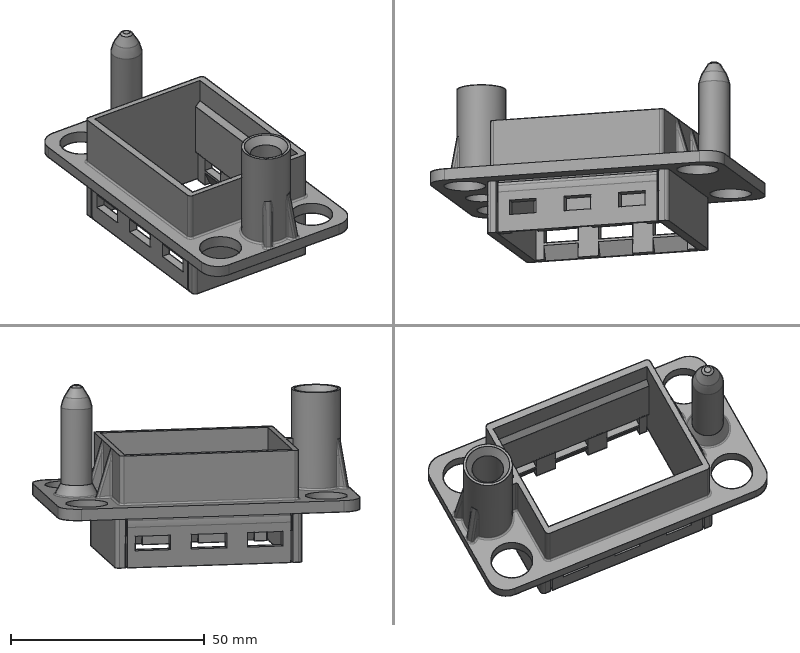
import cadquery as cq
import math

BOTTOM_Z = -13.6
FLANGE_T = 3.0
RIM_Z = 15.85

FLANGE_X = 79.3
FLANGE_Y = 45.0
FLANGE_CORNER_R = 5.15
HOLE_D = 10.8
HOLE_X = 31.5
HOLE_Y = 14.35

SHROUD_X = 47.0
SHROUD_Y = 37.0
OPENING_X = 44.0
OPENING_Y = 33.1
CORNER_R = 1.0
FOOT_R = 0.5

SKIRT_X = 49.1
SKIRT_Y = 35.5
TONGUE_X = 43.0
TONGUE_GAP_Y = 31.0
SLOT_W = (OPENING_X - TONGUE_X) / 2

LEDGE_GAP_Y = 30.4
LEDGE_BOTTOM_Z = -5.4
LEDGE_TOP_Z = 9.75

NECK_TILT = math.radians(10)
SHOULDER_Z = -3.0
SLOPE_Z = -1.3
FLARE_Z = -0.5
FLARE_DEPTH = 0.15

WINDOW_PITCH = 14.75
WINDOW_TOP_Z = LEDGE_BOTTOM_Z
WINDOW_H = 3.8
WINDOW_FRONT_W = 9.3
WINDOW_BACK_W = 7.1
LIP_H = 0.7
LEAD_IN_DEPTH = 1.6

PIN_R = 4.05
PIN_FOOT_R = 5.6
PIN_FOOT_TOP_Z = 5.95
PIN_SHOULDER_Z = 25.85
PIN_NOSE_Z = 28.6
PIN_NOSE_R = 3.1
PIN_NOSE_BULGE = 0.12
PIN_CONE_TOP_Z = 31.1
PIN_CONE_TOP_R = 1.6
PIN_TIP_R = 0.9
PIN_TOP_Z = 31.6

SOCKET_R = 6.35
SOCKET_BORE_R = 4.05
SOCKET_MOUTH_R = 5.6
SOCKET_MOUTH_DEPTH = 2.1
SOCKET_TOP_Z = 28.6
WEB_W = 1.9
WEB_OVERLAP = 1.4

RIB_W = 2.1
RIB_EDGE_R = 0.5
RIB_EMBED = 0.8
END_RIB_Y = 6.2
END_RIB_REACH = 3.9
SOCKET_RIB_ANGLE = 31
SOCKET_RIB_REACH = 2.4

BLANK_MARGIN = 7.9
ZONE_MARGIN = 0.1
RIB_ZONE_Y = END_RIB_Y + RIB_W


def block(size_x, size_y, z_low, z_high):
    """Box centred on the Z axis between two levels."""
    return cq.Workplane("XY").workplane(offset=z_low).rect(size_x, size_y).extrude(z_high - z_low)


def gusset(root, reach):
    """Triangular rib on the flange, sloping from a wall at x = root down to x = root + reach."""
    slope = (RIM_Z - FLANGE_T) / reach
    profile = [
        (root - RIB_EMBED, FLANGE_T),
        (root + reach, FLANGE_T),
        (root - RIB_EMBED, RIM_Z + slope * RIB_EMBED),
    ]
    rib = cq.Workplane("XZ").polyline(profile).close().extrude(RIB_W / 2, both=True)
    rib = rib.edges("not (|X or |Y or |Z)").fillet(RIB_EDGE_R)
    return rib.intersect(block(2 * (root + reach), RIB_W, FLANGE_T, RIM_Z))


def flange_prism():
    """Flange outline with its four holes, carried up to the top of the part."""
    plate = block(FLANGE_X, FLANGE_Y, 0, PIN_TOP_Z).edges("|Z").fillet(FLANGE_CORNER_R)
    holes = (
        cq.Workplane("XY")
        .rect(2 * HOLE_X, 2 * HOLE_Y, forConstruction=True)
        .vertices()
        .circle(HOLE_D / 2)
        .extrude(PIN_TOP_Z)
    )
    return plate.cut(holes)


def on_flange(body, x_low, x_high, half_y):
    """Stand a body on a flange blank, filleting its outline there and the roots of its ribs."""
    blank = block(FLANGE_X + BLANK_MARGIN, FLANGE_Y + BLANK_MARGIN, 0, FLANGE_T)
    joined = blank.union(body)
    low_z = FLANGE_T - ZONE_MARGIN
    outline_zone = cq.selectors.BoxSelector(
        (x_low, -half_y, low_z), (x_high, half_y, FLANGE_T + ZONE_MARGIN), boundingbox=True
    )
    rib_zone = cq.selectors.BoxSelector(
        (x_low, -RIB_ZONE_Y, low_z), (x_high, RIB_ZONE_Y, RIM_Z + ZONE_MARGIN), boundingbox=True
    )
    outline = joined.edges(outline_zone).vals()
    rib_roots = joined.edges("|Z").edges(rib_zone).vals()
    return joined.newObject(outline + rib_roots).fillet(FOOT_R)


def shroud():
    """Rectangular wall with a pair of end ribs and the web that ties it to the socket."""
    body = block(SHROUD_X, SHROUD_Y, FLANGE_T, RIM_Z).edges("|Z").fillet(CORNER_R)
    rib = gusset(SHROUD_X / 2, END_RIB_REACH).rotate((0, 0, 0), (0, 0, 1), 180)
    for side in (-1, 1):
        body = body.union(rib.translate((0, side * END_RIB_Y, 0)))
    web_end = HOLE_X - SOCKET_R + WEB_OVERLAP
    body = body.union(block(web_end, WEB_W, FLANGE_T, RIM_Z).translate((web_end / 2, 0, 0)))
    reach_x = SHROUD_X / 2 + END_RIB_REACH + ZONE_MARGIN
    return on_flange(body, -reach_x, reach_x, SHROUD_Y / 2 + ZONE_MARGIN)


def socket():
    """Round socket body with two ribs on its outer side."""
    body = cq.Workplane("XY", origin=(0, 0, FLANGE_T)).circle(SOCKET_R).extrude(SOCKET_TOP_Z - FLANGE_T)
    rib = gusset(SOCKET_R, SOCKET_RIB_REACH)
    for side in (-1, 1):
        body = body.union(rib.rotate((0, 0, 0), (0, 0, 1), side * SOCKET_RIB_ANGLE))
    reach = SOCKET_R + SOCKET_RIB_REACH
    return on_flange(body.translate((HOLE_X, 0, 0)), HOLE_X - reach, HOLE_X + reach, RIB_ZONE_Y)


def skirt():
    """End walls and tongues as one ring, the tongues parted from the end walls by slots."""
    ring = block(SKIRT_X, SKIRT_Y, BOTTOM_Z, 0).edges("|Z").fillet(CORNER_R)
    ring = ring.cut(block(OPENING_X, LEDGE_GAP_Y, BOTTOM_Z, 0))
    ring = ring.cut(block(OPENING_X, TONGUE_GAP_Y, BOTTOM_Z, LEDGE_BOTTOM_Z))
    slot_x = (TONGUE_X + SLOT_W) / 2
    outer_depth = (SKIRT_Y - OPENING_Y) / 2
    for side_x in (-1, 1):
        lower = block(SLOT_W, SKIRT_Y, BOTTOM_Z, LEDGE_BOTTOM_Z)
        ring = ring.cut(lower.translate((side_x * slot_x, 0, 0)))
        for side_y in (-1, 1):
            upper = block(SLOT_W, outer_depth, LEDGE_BOTTOM_Z, 0)
            ring = ring.cut(upper.translate((side_x * slot_x, side_y * (SKIRT_Y - outer_depth) / 2, 0)))
    return ring


def ledge(side):
    """Thickening inside a long wall of the shroud, with a 45 degree top."""
    outer = SHROUD_Y / 2 - CORNER_R
    root = OPENING_Y / 2
    inner = LEDGE_GAP_Y / 2
    profile = [
        (side * outer, 0),
        (side * inner, 0),
        (side * inner, LEDGE_TOP_Z - (root - inner)),
        (side * root, LEDGE_TOP_Z),
        (side * outer, LEDGE_TOP_Z),
    ]
    return cq.Workplane("YZ").polyline(profile).close().extrude(OPENING_X / 2, both=True)


def tongue_neck(side):
    """Cutter that thins the root of a tongue."""
    face = SKIRT_Y / 2
    radius = (SLOPE_Z - SHOULDER_Z) / math.sin(NECK_TILT)

    def on_shoulder(angle):
        return side * (face - radius * (1 - math.cos(angle))), SHOULDER_Z + radius * math.sin(angle)

    slope_end = face - radius * (1 - math.cos(NECK_TILT)) - (FLARE_Z - SLOPE_Z) * math.tan(NECK_TILT)
    return (
        cq.Workplane("YZ")
        .moveTo(side * face, SHOULDER_Z)
        .threePointArc(on_shoulder(NECK_TILT / 2), on_shoulder(NECK_TILT))
        .lineTo(side * slope_end, FLARE_Z)
        .lineTo(side * (slope_end + FLARE_DEPTH), 0)
        .lineTo(side * face, 0)
        .close()
        .extrude(TONGUE_X / 2, both=True)
    )


def latch_window(side, width):
    """Cutter for one window and the lead-in bevel under its sill."""
    inner = TONGUE_GAP_Y / 2
    outer = SKIRT_Y / 2
    sill_z = WINDOW_TOP_Z - WINDOW_H
    lip_z = sill_z - LIP_H
    opening = [(inner, sill_z), (outer, sill_z), (outer, WINDOW_TOP_Z), (inner, WINDOW_TOP_Z)]
    lead_in = [(inner, lip_z), (inner + LEAD_IN_DEPTH, BOTTOM_Z), (inner, BOTTOM_Z)]
    cutter = cq.Workplane("YZ")
    for profile in (opening, lead_in):
        points = [(side * y, z) for y, z in profile]
        cutter = cutter.add(cq.Workplane("YZ").polyline(points).close().extrude(width / 2, both=True))
    return cutter.combine()


def guide_pin():
    """Pin with a flared foot and a rounded, conical nose."""
    nose_mid_z = (PIN_SHOULDER_Z + PIN_NOSE_Z) / 2
    nose_mid_r = (PIN_R + PIN_NOSE_R) / 2 + PIN_NOSE_BULGE
    profile = (
        cq.Workplane("XZ")
        .moveTo(0, FLANGE_T)
        .lineTo(PIN_FOOT_R, FLANGE_T)
        .lineTo(PIN_R, PIN_FOOT_TOP_Z)
        .lineTo(PIN_R, PIN_SHOULDER_Z)
        .threePointArc((nose_mid_r, nose_mid_z), (PIN_NOSE_R, PIN_NOSE_Z))
        .lineTo(PIN_CONE_TOP_R, PIN_CONE_TOP_Z)
        .lineTo(PIN_TIP_R, PIN_TOP_Z)
        .lineTo(0, PIN_TOP_Z)
        .close()
    )
    pin = profile.revolve(360, (0, 0), (0, 1)).translate((-HOLE_X, 0, 0))
    reach = PIN_FOOT_R + ZONE_MARGIN
    return on_flange(pin, -HOLE_X - reach, -HOLE_X + reach, reach)


def socket_bore():
    """Cutter for the through bore and its conical mouth."""
    mouth_z = SOCKET_TOP_Z - SOCKET_MOUTH_DEPTH
    profile = [
        (0, 0),
        (SOCKET_BORE_R, 0),
        (SOCKET_BORE_R, mouth_z),
        (SOCKET_MOUTH_R, SOCKET_TOP_Z),
        (0, SOCKET_TOP_Z),
    ]
    bore = cq.Workplane("XZ").polyline(profile).close().revolve(360, (0, 0), (0, 1))
    return bore.translate((HOLE_X, 0, 0))


result = shroud().union(socket()).union(guide_pin()).intersect(flange_prism())
result = result.cut(socket_bore())

result = result.cut(block(OPENING_X, OPENING_Y, 0, RIM_Z))
result = result.union(skirt())

for tongue_side, window_width in ((-1, WINDOW_FRONT_W), (1, WINDOW_BACK_W)):
    result = result.union(ledge(tongue_side))
    result = result.cut(tongue_neck(tongue_side))
    window = latch_window(tongue_side, window_width)
    for step in (-1, 0, 1):
        result = result.cut(window.translate((step * WINDOW_PITCH, 0, 0)))